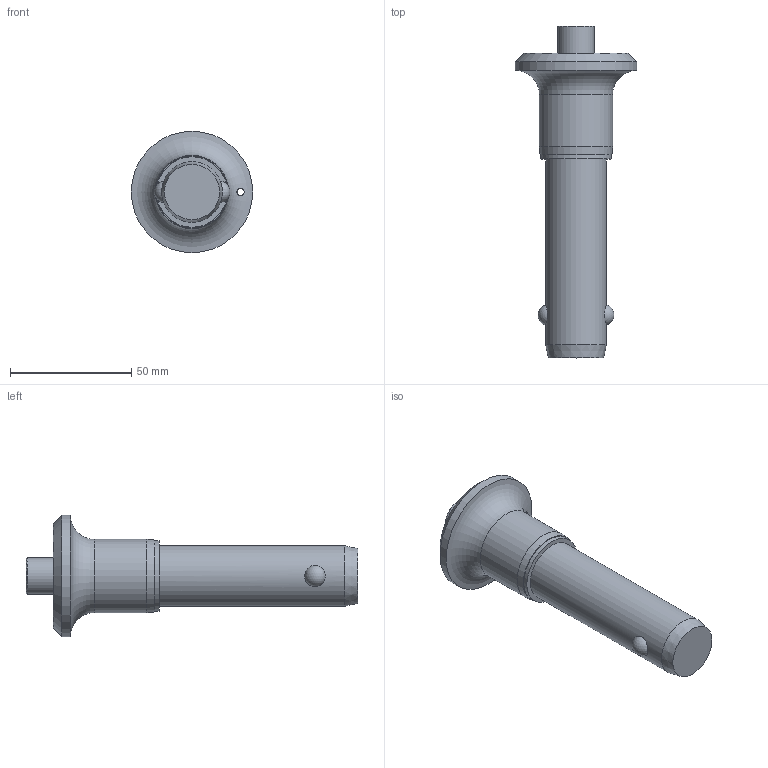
import cadquery as cq


shank_radius = 12.5
shank_length = 82.0
tip_radius = 11.4
tip_length = 5.5

handle_length = 43.6
grip_radius = 15.1
collar_radius = 14.5
collar_length = 1.8
taper_step = 0.3
grip_taper_length = 3.3
flange_radius = 25.0
flange_rim_length = 3.6
flange_chamfer = 3.5
flare_radius = flange_radius - grip_radius

button_radius = 7.6
button_length = 11.2
button_chamfer = 0.4

ball_radius = 4.4
ball_reach = 15.65
ball_from_tip = 17.7

lanyard_hole_diameter = 3.0
lanyard_hole_offset = 20.0


def make_body():
    """Shank, handle and button as one revolved profile of (radius, Y) points."""
    tip_y = -shank_length
    grip_taper_end = collar_length + grip_taper_length
    flange_top = handle_length
    flange_rim_top = flange_top - flange_chamfer
    flange_bottom = flange_rim_top - flange_rim_length
    flare_start = flange_bottom - flare_radius
    button_top = flange_top + button_length

    profile = (
        cq.Workplane("XY")
        .moveTo(0, tip_y)
        .lineTo(tip_radius, tip_y)
        .lineTo(shank_radius, tip_y + tip_length)
        .lineTo(shank_radius, 0)
        .lineTo(collar_radius, 0)
        .lineTo(collar_radius, collar_length)
        .lineTo(collar_radius + taper_step, collar_length)
        .lineTo(grip_radius, grip_taper_end)
        .lineTo(grip_radius, flare_start)
        .radiusArc((flange_radius, flange_bottom), flare_radius)
        .lineTo(flange_radius, flange_rim_top)
        .lineTo(flange_radius - flange_chamfer, flange_top)
        .lineTo(button_radius, flange_top)
        .lineTo(button_radius, button_top - button_chamfer)
        .lineTo(button_radius - button_chamfer, button_top)
        .lineTo(0, button_top)
        .close()
    )
    return profile.revolve(360, (0, 0, 0), (0, 1, 0))


def add_locking_balls(body):
    """Two balls that stand out of the shank on opposite sides along X."""
    ball_x = ball_reach - ball_radius
    ball_y = ball_from_tip - shank_length
    for side in (-1, 1):
        ball = cq.Workplane("XY").sphere(ball_radius).translate((side * ball_x, ball_y, 0))
        body = body.union(ball)
    return body


def cut_lanyard_hole(body):
    """Round hole parallel to the pin axis, right through the flange on the +X side."""
    drill = (
        cq.Workplane("XZ")
        .center(lanyard_hole_offset, 0)
        .circle(lanyard_hole_diameter / 2)
        .extrude(-handle_length)
    )
    return body.cut(drill)


result = cut_lanyard_hole(add_locking_balls(make_body()))